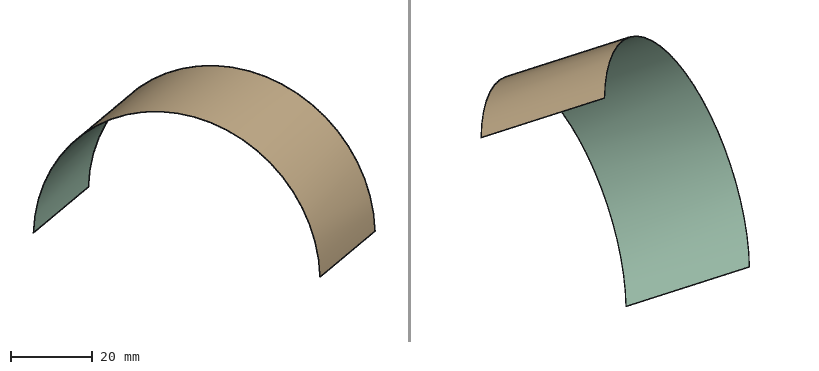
import cadquery as cq
import math

span = 76.25
height = 37.1
length = 34.0
thickness = 0.13

outer_radius = ((span / 2) ** 2 + height ** 2) / (2 * height)
inner_radius = outer_radius - thickness
axis_drop = outer_radius - height
half_angle = math.acos(axis_drop / outer_radius)


def arc_point(radius, angle):
    """Point at an angle measured from the crown, positive toward +X."""
    return (radius * math.sin(angle), radius * math.cos(angle))


result = (
    cq.Workplane("XZ")
    .moveTo(*arc_point(outer_radius, -half_angle))
    .threePointArc(arc_point(outer_radius, 0), arc_point(outer_radius, half_angle))
    .lineTo(*arc_point(inner_radius, half_angle))
    .threePointArc(arc_point(inner_radius, 0), arc_point(inner_radius, -half_angle))
    .close()
    .extrude(length / 2, both=True)
)